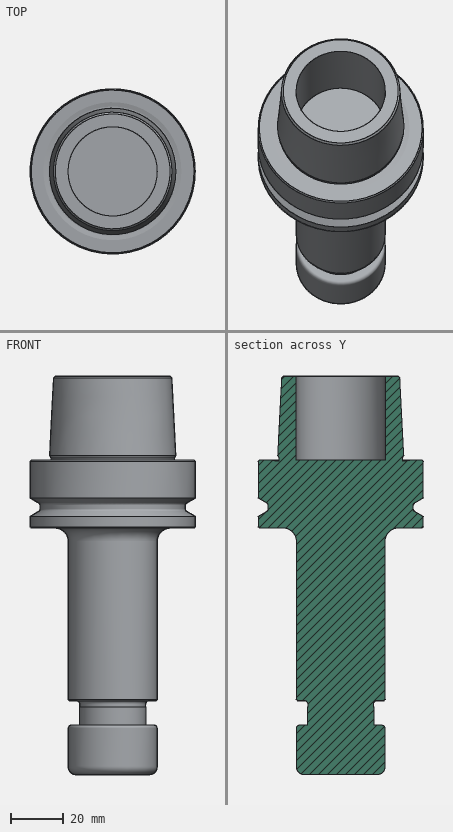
import cadquery as cq
import math

taper_height = 32.0
flange_height = 26.0
total_height = 152.0
z_flange_bottom = -flange_height
z_bottom = taper_height - total_height

taper_base_radius = 24.1
taper_base_z = 1.8
taper_ratio = 1 / 20
taper_top_chamfer = 0.7
bore_radius = 17.0
bore_depth = taper_height

relief_radius = 26.3
relief_floor_radius = 24.65
relief_depth = 0.3
foot_chamfer_height = 1.0
undercut_radius = 23.6

flange_radius = 31.5
flange_chamfer = 0.5
groove_center_z = -18.0
groove_floor_radius = 27.75
groove_mouth_width = 6.9
groove_wall_angle = 30.0
groove_root_fillet = 0.8

body_radius = 17.0
body_fillet = 5.0
body_end_z = -91.8
body_end_chamfer = 0.5

neck_radius = 12.75
neck_step_z = -94.1
neck_top_radius = 12.6
neck_root_radius = 1.3

nut_radius = 17.0
nut_height = 19.0
nut_top_fillet = 1.3
nut_bottom_fillet = 3.0


def revolve(profile):
    """Turn a closed half-profile (radius, z) about the Z axis."""
    return profile.close().revolve(360, (0, 0, 0), (0, 1, 0))


def cylinder(radius, z_low, z_high):
    return cq.Workplane("XY").workplane(offset=z_low).circle(radius).extrude(z_high - z_low)


def make_taper():
    top_radius = taper_base_radius - (taper_height - taper_base_z) * taper_ratio
    return revolve(
        cq.Workplane("XZ")
        .moveTo(0, -relief_depth)
        .lineTo(undercut_radius, -relief_depth)
        .lineTo(undercut_radius, taper_base_z - foot_chamfer_height)
        .lineTo(taper_base_radius, taper_base_z)
        .lineTo(top_radius, taper_height - taper_top_chamfer)
        .lineTo(top_radius - taper_top_chamfer, taper_height)
        .lineTo(0, taper_height)
    )


def make_flange():
    flange = cylinder(flange_radius, z_flange_bottom, 0).edges().chamfer(flange_chamfer)
    return flange.cut(make_relief()).cut(make_groove())


def make_relief():
    """Shallow dished recess in the flange's upper face."""
    return revolve(
        cq.Workplane("XZ")
        .lineTo(relief_radius, 0)
        .lineTo(relief_floor_radius, -relief_depth)
        .lineTo(0, -relief_depth)
    )


def make_groove():
    """Ring-shaped cutter with sloping walls and rounded roots."""
    wall_rise = (flange_radius - groove_floor_radius) * math.tan(math.radians(groove_wall_angle))
    half_mouth = groove_mouth_width / 2
    half_floor = half_mouth - wall_rise
    ring = revolve(
        cq.Workplane("XZ")
        .moveTo(groove_floor_radius, groove_center_z - half_floor)
        .lineTo(flange_radius, groove_center_z - half_mouth)
        .lineTo(flange_radius, groove_center_z + half_mouth)
        .lineTo(groove_floor_radius, groove_center_z + half_floor)
    )
    inner_edges = cq.selectors.RadiusNthSelector(0)
    return ring.edges("%CIRCLE").edges(inner_edges).fillet(groove_root_fillet)


def make_body():
    arc_center = (body_radius + body_fillet, z_flange_bottom - body_fillet)
    arc_offset = body_fillet * math.sqrt(0.5)
    return revolve(
        cq.Workplane("XZ")
        .moveTo(0, z_flange_bottom)
        .lineTo(body_radius + body_fillet, z_flange_bottom)
        .threePointArc(
            (arc_center[0] - arc_offset, arc_center[1] + arc_offset),
            (body_radius, z_flange_bottom - body_fillet),
        )
        .lineTo(body_radius, body_end_z + body_end_chamfer)
        .lineTo(body_radius - body_end_chamfer, body_end_z)
        .lineTo(0, body_end_z)
    )


def make_neck():
    arc_offset = neck_root_radius * (1 - math.sqrt(0.5))
    return revolve(
        cq.Workplane("XZ")
        .moveTo(0, body_end_z)
        .lineTo(neck_top_radius + neck_root_radius, body_end_z)
        .threePointArc(
            (neck_top_radius + arc_offset, body_end_z - arc_offset),
            (neck_top_radius, body_end_z - neck_root_radius),
        )
        .lineTo(neck_top_radius, neck_step_z)
        .lineTo(neck_radius, neck_step_z)
        .lineTo(neck_radius, z_bottom + nut_height)
        .lineTo(0, z_bottom + nut_height)
    )


def make_nut():
    nut = cylinder(nut_radius, z_bottom, z_bottom + nut_height)
    return nut.faces(">Z").edges().fillet(nut_top_fillet).faces("<Z").edges().fillet(nut_bottom_fillet)


bore = cylinder(bore_radius, taper_height - bore_depth, taper_height)
solid_part = make_flange().union(make_taper()).union(make_body()).union(make_neck()).union(make_nut())
result = solid_part.cut(bore)